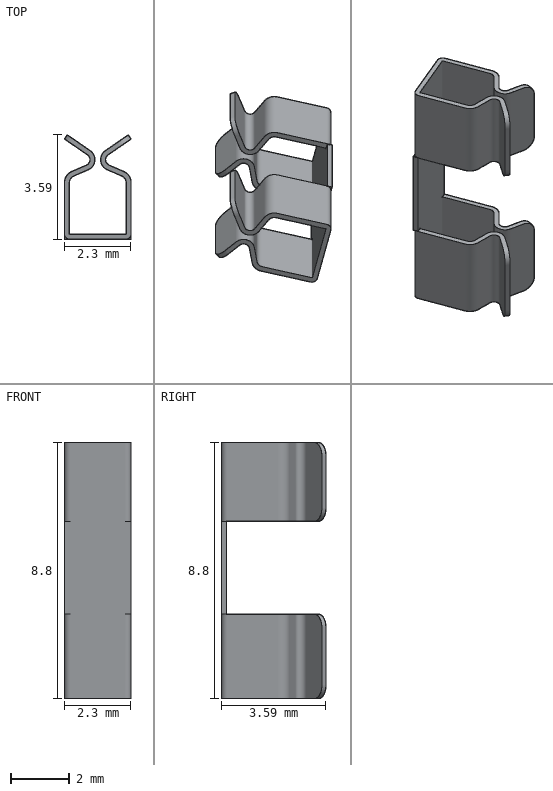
import cadquery as cq
import math

width = 2.3
depth = 3.59
height = 8.8
sheet = 0.18

lower_clip_height = 2.9
upper_clip_height = 2.71

shoulder_height = 2.165
shoulder_angle = 23.4
lip_angle = 34.6
throat_gap = 0.19
shoulder_bend_inner = 0.25
throat_bend_inner = 0.2
base_bend_inner = 0.03
lip_corner_radius = 0.46

shoulder_bend_outer = shoulder_bend_inner + sheet
throat_bend_outer = throat_bend_inner + sheet
base_bend_outer = base_bend_inner + sheet
throat_bend_middle = throat_bend_inner + sheet / 2


def direction(angle):
    """Unit vector at an angle in degrees from +X."""
    return math.cos(math.radians(angle)), math.sin(math.radians(angle))


headings = [0, 90, 180 - shoulder_angle, lip_angle]

half_turn = math.radians((headings[2] - headings[3]) / 2)
throat_setback = throat_bend_middle * (1 / math.cos(half_turn) - 1)
throat_axis = (headings[2] + headings[3]) / 2
wall_x = width / 2 - sheet / 2
throat_x = throat_gap / 2 + sheet / 2 - throat_setback * direction(throat_axis - 90)[0]
throat_y = shoulder_height + (wall_x - throat_x) * math.tan(math.radians(shoulder_angle))
lip_x, lip_y = direction(lip_angle)
tip_y = depth - sheet / 2 * lip_x
tip_x = throat_x + (tip_y - throat_y) * lip_x / lip_y
middle_line = [
    (0, sheet / 2),
    (wall_x, sheet / 2),
    (wall_x, shoulder_height),
    (throat_x, throat_y),
    (tip_x, tip_y),
]


def offset_points(side):
    """Mitred corners of one sheet face: side is +1 for left of travel, -1 for right."""
    angles = [headings[0]] + headings + [headings[-1]]
    points = []
    for (x, y), before, after in zip(middle_line, angles, angles[1:]):
        mitre = side * sheet / 2 / math.cos(math.radians((after - before) / 2))
        normal_x, normal_y = direction((before + after) / 2 + 90)
        points.append((x + mitre * normal_x, y + mitre * normal_y))
    return points


def make_right_half(clip_height):
    """Half of the base with one bent arm, standing on Z = 0."""
    left_face = offset_points(1)
    right_face = offset_points(-1)
    half = cq.Workplane("XY").polyline(right_face + left_face[::-1]).close().extrude(clip_height)

    bends = [
        (base_bend_inner, base_bend_outer),
        (shoulder_bend_inner, shoulder_bend_outer),
        (throat_bend_outer, throat_bend_inner),
    ]
    for corner, radii in enumerate(bends, start=1):
        for face, radius in zip((left_face, right_face), radii):
            x, y = face[corner]
            edge = cq.selectors.NearestToPointSelector((x, y, clip_height / 2))
            half = half.edges("|Z").edges(edge).fillet(radius)

    edge_across_lip = cq.selectors.ParallelDirSelector(cq.Vector(-lip_y, lip_x, 0))
    for z in (0, clip_height):
        edge = cq.selectors.NearestToPointSelector((tip_x, tip_y, z))
        half = half.edges(edge_across_lip).edges(edge).fillet(lip_corner_radius)
    return half


def make_clip(clip_height):
    """Complete clip, symmetric about X = 0."""
    right_half = make_right_half(clip_height)
    return right_half.union(right_half.mirror("YZ"))


strap_height = height - lower_clip_height - upper_clip_height
strap = cq.Workplane("XY").box(width, sheet, strap_height, centered=(True, False, False))
strap = strap.translate((0, 0, lower_clip_height))

lower_clip = make_clip(lower_clip_height)
upper_clip = make_clip(upper_clip_height).translate((0, 0, height - upper_clip_height))
result = lower_clip.union(strap).union(upper_clip)